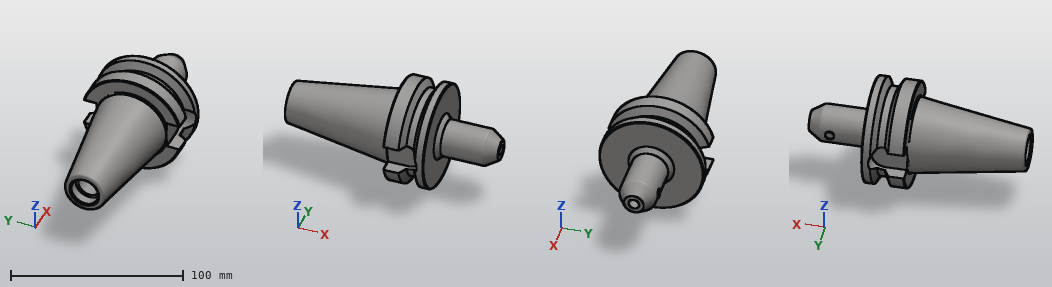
import cadquery as cq

TOTAL_LENGTH = 129.0
GAUGE_X = 65.4
FLANGE_BACK_X = 67.3
FLANGE_FRONT_X = 92.5

GAUGE_RADIUS = 44.5 / 2
TAPER_END_RADIUS = 12.5
TAPER_END_FILLET = 1.4
FLANGE_ROOT_FILLET = 0.8

FLANGE_RADIUS = 63.0 / 2
FLANGE_CHAMFER = 0.5
GROOVE_RADIUS = 26.5
GROOVE_START_X = 76.8
GROOVE_FLOOR_START_X = 79.7
GROOVE_FLOOR_END_X = 84.4
GROOVE_END_X = GROOVE_FLOOR_END_X + GROOVE_FLOOR_START_X - GROOVE_START_X

SLOT_WIDTH = 17.0
SLOT_FLOOR_Y = 22.3
SLOT_ARC_X = 79.9

NOSE_RADIUS = 22.2 / 2
NOSE_CONE_LENGTH = 3.1
NOSE_CONE_RADIUS = 13.8
TIP_CONE_X = 121.3
TIP_RADIUS = 6.6
TIP_CHAMFER = 0.6
TIP_BLEND_RADIUS = 1.9

PULL_BORE_DIAMETER = 17.2
PULL_BORE_DEPTH = 7.1
PULL_BORE_CHAMFER = 0.8
THREAD_BORE_DIAMETER = 13.8
THREAD_BORE_DEPTH = 32.2
TOOL_BORE_DIAMETER = 6.3
TOOL_BORE_MOUTH_DIAMETER = 7.9

SCREW_DIAMETER = 5.3
SCREW_X = 115.5
SCREW_INNER_Y = 2.0
SCREW_OUTER_Y = 11.4


def revolve_about_x(points):
    """Solid of revolution about X from (x, radius) points that start and end on the axis."""
    return cq.Workplane("XY").polyline(points).close().revolve(360, (0, 0, 0), (1, 0, 0))


def edge_at(x, radius):
    """Selector for the circular edges about X at this x, up to this radius."""
    size = 0.1
    return cq.selectors.BoxSelector(
        (x - size, -radius - size, -radius - size),
        (x + size, radius + size, radius + size),
        boundingbox=True,
    )


def make_taper():
    taper = revolve_about_x([
        (0, 0),
        (0, TAPER_END_RADIUS),
        (GAUGE_X, GAUGE_RADIUS),
        (FLANGE_BACK_X, GAUGE_RADIUS),
        (FLANGE_BACK_X, 0),
    ])
    return taper.faces("<X").edges().fillet(TAPER_END_FILLET)


def make_flange():
    flange = revolve_about_x([
        (FLANGE_BACK_X, 0),
        (FLANGE_BACK_X, FLANGE_RADIUS),
        (GROOVE_START_X, FLANGE_RADIUS),
        (GROOVE_FLOOR_START_X, GROOVE_RADIUS),
        (GROOVE_FLOOR_END_X, GROOVE_RADIUS),
        (GROOVE_END_X, FLANGE_RADIUS),
        (FLANGE_FRONT_X, FLANGE_RADIUS),
        (FLANGE_FRONT_X, 0),
    ])
    return flange.faces("<X or >X").edges().chamfer(FLANGE_CHAMFER)


def make_nose():
    nose = revolve_about_x([
        (FLANGE_FRONT_X, 0),
        (FLANGE_FRONT_X, NOSE_CONE_RADIUS),
        (FLANGE_FRONT_X + NOSE_CONE_LENGTH, NOSE_RADIUS),
        (TIP_CONE_X, NOSE_RADIUS),
        (TOTAL_LENGTH - TIP_CHAMFER, TIP_RADIUS),
        (TOTAL_LENGTH, TIP_RADIUS - TIP_CHAMFER),
        (TOTAL_LENGTH, 0),
    ])
    return nose.edges(edge_at(TIP_CONE_X, NOSE_RADIUS)).fillet(TIP_BLEND_RADIUS)


def make_bores():
    pull_radius = PULL_BORE_DIAMETER / 2
    thread_radius = THREAD_BORE_DIAMETER / 2
    mouth_radius = TOOL_BORE_MOUTH_DIAMETER / 2
    tool_radius = TOOL_BORE_DIAMETER / 2
    return revolve_about_x([
        (0, 0),
        (0, pull_radius + PULL_BORE_CHAMFER),
        (PULL_BORE_CHAMFER, pull_radius),
        (PULL_BORE_DEPTH, pull_radius),
        (PULL_BORE_DEPTH, thread_radius),
        (THREAD_BORE_DEPTH, thread_radius),
        (THREAD_BORE_DEPTH, mouth_radius),
        (THREAD_BORE_DEPTH + mouth_radius - tool_radius, tool_radius),
        (TOTAL_LENGTH, tool_radius),
        (TOTAL_LENGTH, 0),
    ])


def make_drive_slot(side):
    """Round-ended slot, open toward -X, on the +Y (side=1) or -Y (side=-1) flank."""
    depth = FLANGE_RADIUS - SLOT_FLOOR_Y
    half_width = SLOT_WIDTH / 2
    middle_y = side * (SLOT_FLOOR_Y + depth / 2)
    return (
        cq.Workplane("XZ", origin=(0, middle_y, 0))
        .moveTo(GAUGE_X, -half_width)
        .lineTo(SLOT_ARC_X, -half_width)
        .threePointArc((SLOT_ARC_X + half_width, 0), (SLOT_ARC_X, half_width))
        .lineTo(GAUGE_X, half_width)
        .close()
        .extrude(depth / 2, both=True)
    )


def make_clamping_screw():
    return (
        cq.Workplane("XZ", origin=(SCREW_X, SCREW_INNER_Y, 0))
        .circle(SCREW_DIAMETER / 2)
        .extrude(SCREW_INNER_Y - SCREW_OUTER_Y)
    )


body = make_taper().union(make_flange())
body = body.edges(edge_at(FLANGE_BACK_X, GAUGE_RADIUS)).fillet(FLANGE_ROOT_FILLET)
body = body.union(make_nose())
for side in (-1, 1):
    body = body.cut(make_drive_slot(side))
result = body.cut(make_bores()).union(make_clamping_screw())